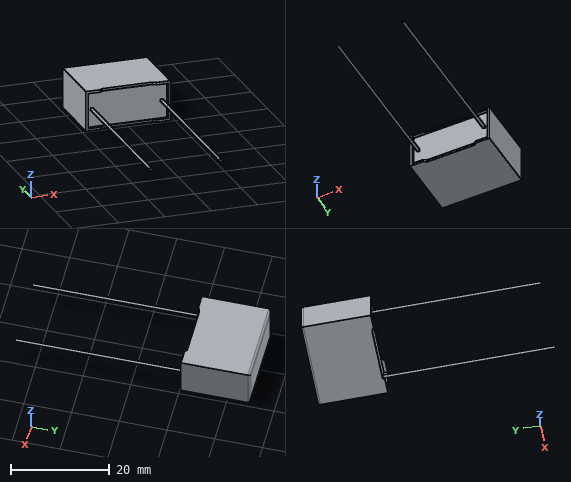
import cadquery as cq

overall_length = 49.6
case_width = 18.3
case_height = 8.75
case_depth = 14.55
wall = 0.55

rim_radius = 0.5

notch_depth = 0.45
notch_mouth_width = 12.1
notch_floor_width = 10.9

resin_recess = 0.75

lead_diameter = 0.7
lead_pitch = 15.1

back_y = overall_length / 2
open_y = back_y - case_depth
resin_y = open_y + resin_recess
cavity_back_y = back_y - wall
lead_tip_y = -overall_length / 2


def block(width, height, start_y, end_y):
    """Box centred on the Y axis, spanning start_y to end_y."""
    return cq.Workplane("XY").box(width, end_y - start_y, height).translate(
        (0, (start_y + end_y) / 2, 0)
    )


def make_notch_cutter():
    """Trapezoid that cuts both long walls at the open end."""
    return (
        cq.Workplane("XY")
        .polyline([
            (-notch_mouth_width / 2, open_y),
            (notch_mouth_width / 2, open_y),
            (notch_floor_width / 2, open_y + notch_depth),
            (-notch_floor_width / 2, open_y + notch_depth),
        ])
        .close()
        .extrude(case_height / 2, both=True)
    )


def make_case():
    """Box open at its -Y end, with rounded edges around the closed end."""
    body = block(case_width, case_height, open_y, back_y)
    body = body.faces(">Y").edges().fillet(rim_radius)
    cavity = block(case_width - 2 * wall, case_height - 2 * wall, open_y, cavity_back_y)
    return body.cut(cavity).cut(make_notch_cutter())


def make_resin():
    """Solid fill of the case cavity behind the recess."""
    return block(case_width - 2 * wall, case_height - 2 * wall, resin_y, cavity_back_y)


def make_lead(x):
    """Straight round wire standing on the resin face."""
    return (
        cq.Workplane("XZ", origin=(x, resin_y, 0))
        .circle(lead_diameter / 2)
        .extrude(resin_y - lead_tip_y)
    )


case = make_case()
resin = make_resin()
leads = [make_lead(side * lead_pitch / 2) for side in (-1, 1)]

result = cq.Compound.makeCompound([case.val(), resin.val(), *[lead.val() for lead in leads]])